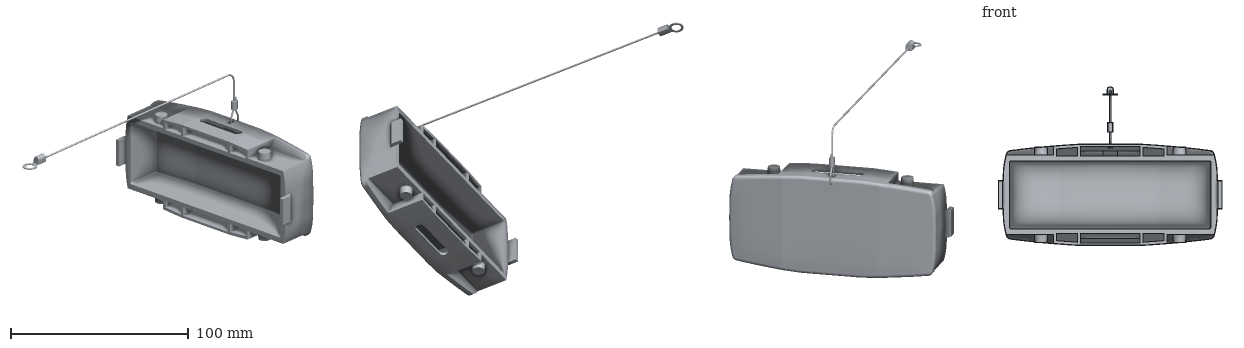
import cadquery as cq
import math


overshoot = 1.8

half_height = 28.5
crest_half_width = 17.7
shoulder = (56.3, 25.0)
deck_height = 22.4
deck_half_width = 58.7
half_width = 60.5
side_break = 11.2
side_break_half_width = 60.3
crest_bulge = 0.4
side_bulge = 0.4
corner_bulge = 0.4
depth = 26.9
back_fold = 28.2
back_drop = 2.3
back_round = 1.8

cavity_half_width = 56.7
cavity_half_height = 19.1
back_thickness = 3.2
cavity_round = 1.0

recess_inner = 32.0
recess_depth = 19.1
recess_slope = 0.65
pin_diameter = 6.9
pin_base_diameter = 7.5
pin_x = 39.0
pin_y = 6.3
pin_top = 26.9

hollow_floor = 21.8
hollow_depth = 19.1
main_hollow_half_width = 16.8
main_hollow_top = 27.0
main_hollow_step = 24.5
main_hollow_extra = 1.5
notch_half_width = 4.2
notch_depth = 0.7
side_hollow_inner = 18.5
side_hollow_outer = 30.3
side_hollow_top = (26.7, 25.8)
slot_length = 30.3
slot_width = 5.5
slot_y = 13.2

latch_outer = 63.0
latch_thickness = 2.3
latch_half_height = 8.0
latch_reach = 5.0
latch_bend_start = 1.3
latch_bend_rise = 2.2
latch_embed = 1.8

wire_diameter = 1.0
wire_height = 58.0
wire_y = 24.0
wire_bend = 5.0
ferrule_width = 2.9
ferrule_length = 4.2
ferrule_bottom = 35.4
ferrule_top = 40.6
ferrule_middle = (ferrule_bottom + ferrule_top) / 2
tail_y = 25.3
tail_top = 42.8
loop_center_y = 24.5
loop_neck = 0.7
loop_radius = 2.9
loop_straight_top = 30.7
loop_arc_height = 27.5
mouth_width = 2.7
mouth_front = 18.8
mouth_back = 23.5
mouth_depth = 2.2

terminal_end = 152.5
ring_diameter = 8.1
ring_hole = 5.5
tag_bottom = 56.3
tag_thickness = 0.5
barrel_front = 143.2
barrel_back = 137.0
barrel_width = 3.6
barrel_top = 60.8
bore_diameter = 1.5
bore_depth = 0.9


def prism_along_y(points, y_start, y_end):
    """Polygon in X and Z, extruded between two Y positions."""
    return cq.Workplane("XZ", origin=(0, y_start, 0)).polyline(points).close().extrude(y_start - y_end)


def prism_along_x(points, x_start, x_end):
    """Polygon in Y and Z, extruded between two X positions."""
    return cq.Workplane("YZ", origin=(x_start, 0, 0)).polyline(points).close().extrude(x_end - x_start)


def box_between(low, high):
    size = [b - a for a, b in zip(low, high)]
    return cq.Workplane("XY").box(*size, centered=False).translate(low)


def both_sides(shape, plane):
    return shape.union(shape.mirror(plane))


def four_corners(shape):
    return both_sides(both_sides(shape, "YZ"), "XY")


def back_profile(side, back_y):
    """Plan outline whose back slopes away beyond the fold lines."""
    slope = back_drop / (half_width - back_fold)
    side_y = back_y - slope * (side - back_fold)
    return [(-side, 0), (side, 0), (side, side_y), (back_fold, back_y), (-back_fold, back_y), (-side, side_y)]


def make_shell():
    slope_middle = (
        (crest_half_width + shoulder[0]) / 2,
        (half_height + shoulder[1]) / 2 + crest_bulge,
    )
    corner_middle = (
        (shoulder[0] + deck_half_width) / 2 + corner_bulge,
        (shoulder[1] + deck_height) / 2 + corner_bulge,
    )
    side_middle = (
        (deck_half_width + side_break_half_width) / 2 + side_bulge,
        (deck_height + side_break) / 2,
    )
    outline = (
        cq.Workplane("XZ")
        .moveTo(0, half_height)
        .lineTo(crest_half_width, half_height)
        .threePointArc(slope_middle, shoulder)
        .threePointArc(corner_middle, (deck_half_width, deck_height))
        .threePointArc(side_middle, (side_break_half_width, side_break))
        .lineTo(half_width, 0)
        .mirrorX()
        .mirrorY()
    )
    plan = back_profile(half_width + overshoot, depth)
    sloped_back = cq.Workplane("XY", origin=(0, 0, -half_height)).polyline(plan).close().extrude(2 * half_height)
    shell = outline.extrude(-depth).intersect(sloped_back)
    back_region = cq.selectors.BoxSelector(
        (-half_width, depth - back_drop, -half_height),
        (half_width, depth + overshoot, half_height),
    )
    back_faces = shell.faces(back_region).vals()
    fold_edges = shell.faces(">Y").edges("|Z").vals()
    rim = [
        edge
        for face in back_faces
        for edge in face.Edges()
        if not any(edge.isSame(fold) for fold in fold_edges)
    ]
    return shell.newObject(rim).fillet(back_round)


def make_cavity():
    plan = back_profile(cavity_half_width, depth - back_thickness)
    cavity = (
        cq.Workplane("XY", origin=(0, 0, -cavity_half_height))
        .polyline(plan)
        .close()
        .extrude(2 * cavity_half_height)
    )
    return cavity.edges("not(<Y or >Y)").fillet(cavity_round)


def make_recess():
    clear_z = half_height + overshoot
    section = [
        (-overshoot, deck_height),
        (recess_depth, deck_height),
        (recess_depth + recess_slope * (clear_z - deck_height), clear_z),
        (-overshoot, clear_z),
    ]
    return prism_along_x(section, recess_inner, half_width + overshoot)


def make_pin():
    """Tapered pin standing on a deck."""
    base = cq.Workplane("XY", origin=(pin_x, pin_y, deck_height)).circle(pin_base_diameter / 2)
    tip = base.workplane(offset=pin_top - deck_height).circle(pin_diameter / 2)
    return tip.loft()


def make_main_hollow():
    """Upper central hollow, a little deeper above its step."""
    w = main_hollow_half_width
    low = box_between((-w, -overshoot, hollow_floor), (w, hollow_depth, main_hollow_step))
    deep = hollow_depth + main_hollow_extra
    high = box_between((-w, -overshoot, main_hollow_step), (w, deep, main_hollow_top))
    return low.union(high)


def make_notch():
    """Notch in the end wall of the upper main hollow, under the tether loop."""
    return box_between(
        (-notch_half_width, 0, hollow_floor),
        (notch_half_width, hollow_depth + notch_depth, main_hollow_step),
    )


def make_side_hollow():
    inner_top, outer_top = side_hollow_top
    points = [
        (side_hollow_inner, hollow_floor),
        (side_hollow_outer, hollow_floor),
        (side_hollow_outer, outer_top),
        (side_hollow_inner, inner_top),
    ]
    return prism_along_y(points, -overshoot, hollow_depth)


def make_slot():
    """Obround window from the crest into the main hollow."""
    return (
        cq.Workplane("XY", origin=(0, slot_y, hollow_floor))
        .slot2D(slot_length, slot_width)
        .extrude(half_height - hollow_floor + overshoot)
    )


def make_latch():
    """Flat tongue that bends back into the side wall."""
    inner = latch_outer - latch_thickness
    root = inner - latch_embed
    run = latch_outer - root
    slope = latch_bend_rise / latch_thickness
    points = [
        (inner, -latch_reach),
        (latch_outer, -latch_reach),
        (latch_outer, latch_bend_start),
        (root, latch_bend_start + slope * run),
        (root, 0),
        (inner, 0),
    ]
    base = cq.Workplane("XY", origin=(0, 0, -latch_half_height))
    return base.polyline(points).close().extrude(2 * latch_half_height)


def sweep_wire(path, start_plane):
    profile = cq.Workplane(start_plane).circle(wire_diameter / 2)
    return profile.sweep(path, transition="round")


def make_tether():
    """Loop through the ridge, ferrule, vertical run, bend and long straight run."""
    back_y = loop_center_y + loop_radius
    front_y = loop_center_y - loop_radius
    loop_path = (
        cq.Workplane("YZ")
        .moveTo(loop_center_y + loop_neck, ferrule_middle)
        .lineTo(loop_center_y + loop_neck, ferrule_bottom)
        .lineTo(back_y, loop_straight_top)
        .lineTo(back_y, loop_arc_height)
        .threePointArc((loop_center_y, loop_arc_height - loop_radius), (front_y, loop_arc_height))
        .lineTo(front_y, loop_straight_top)
        .lineTo(loop_center_y - loop_neck, ferrule_bottom)
        .lineTo(loop_center_y - loop_neck, ferrule_middle)
    )
    loop_start = cq.Plane(origin=(0, loop_center_y + loop_neck, ferrule_middle))
    loop = sweep_wire(loop_path, loop_start)

    bend_inset = wire_bend * (1 - math.cos(math.radians(45)))
    run_path = (
        cq.Workplane("YZ")
        .moveTo(wire_y, ferrule_middle)
        .lineTo(wire_y, wire_height - wire_bend)
        .threePointArc((wire_y - bend_inset, wire_height - bend_inset), (wire_y - wire_bend, wire_height))
        .lineTo(-(barrel_front + barrel_back) / 2, wire_height)
    )
    run = sweep_wire(run_path, cq.Plane(origin=(0, wire_y, ferrule_middle)))

    ferrule = (
        cq.Workplane("XY", origin=(0, loop_center_y, ferrule_bottom))
        .slot2D(ferrule_length, ferrule_width, 90)
        .extrude(ferrule_top - ferrule_bottom)
    )
    tail = (
        cq.Workplane("XY", origin=(0, tail_y, ferrule_middle))
        .circle(wire_diameter / 2)
        .extrude(tail_top - ferrule_middle)
    )
    return loop.union(run).union(ferrule).union(tail)


def make_mouth():
    """Rectangular opening in the crest where the loop enters the ridge."""
    return box_between(
        (-mouth_width / 2, mouth_front, half_height - mouth_depth),
        (mouth_width / 2, mouth_back, half_height + overshoot),
    )


def make_terminal():
    """Crimp barrel with a flat ring tag."""
    radius = barrel_width / 2
    barrel = (
        cq.Workplane("XZ", origin=(0, -barrel_back, 0))
        .moveTo(-radius, tag_bottom)
        .lineTo(radius, tag_bottom)
        .lineTo(radius, barrel_top - radius)
        .threePointArc((0, barrel_top), (-radius, barrel_top - radius))
        .close()
        .extrude(barrel_front - barrel_back)
    )
    bore = (
        cq.Workplane("XZ", origin=(0, bore_depth - barrel_front, 0))
        .center(0, wire_height)
        .circle(bore_diameter / 2)
        .extrude(bore_depth)
    )
    ring_y = ring_diameter / 2 - terminal_end
    tag = cq.Workplane("XY", origin=(0, ring_y, tag_bottom)).circle(ring_diameter / 2).extrude(tag_thickness)
    neck = box_between(
        (-radius, ring_y, tag_bottom),
        (radius, -(barrel_front + barrel_back) / 2, tag_bottom + tag_thickness),
    )
    hole = (
        cq.Workplane("XY", origin=(0, ring_y, tag_bottom - overshoot))
        .circle(ring_hole / 2)
        .extrude(tag_thickness + 2 * overshoot)
    )
    return tag.union(neck).cut(hole).union(barrel.cut(bore))


hollows = both_sides(make_main_hollow().union(make_slot()), "XY").union(four_corners(make_side_hollow()))

cover = make_shell().cut(make_cavity()).cut(four_corners(make_recess())).cut(hollows).cut(make_notch())
cover = cover.cut(make_mouth())
cover = cover.union(four_corners(make_pin())).union(both_sides(make_latch(), "YZ"))

result = cover.union(make_tether()).union(make_terminal())